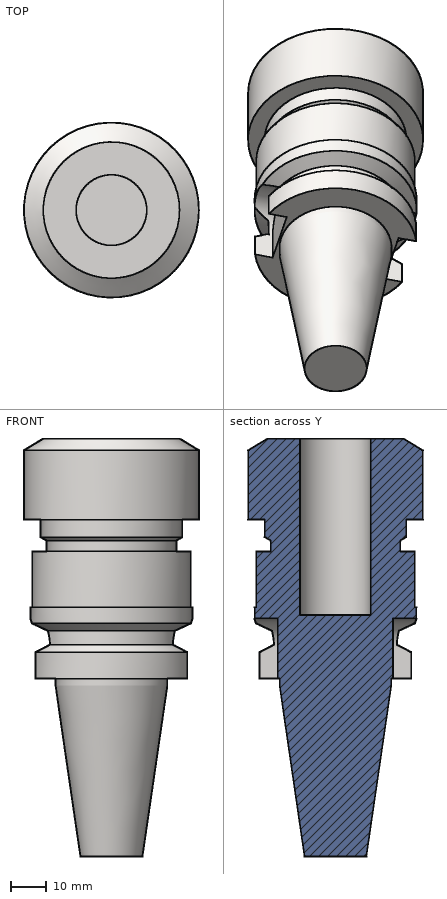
import cadquery as cq

total_height = 118.4
taper_height = 48.4
flange_bottom = 50.4
flange_rim_height = 7.5
groove_bottom = 60.0
groove_top = 63.9
upper_rim_bottom = 66.1
upper_rim_top = 70.7
body_top = 86.4
collar_chamfer_bottom = 89.5
collar_chamfer_top = 90.5
nut_bottom = 95.4
nut_chamfer_height = 3.3

taper_large_radius = 15.9
flange_radius = 23.0
groove_radius = 19.2
body_radius = 22.5
neck_radius = 18.5
collar_radius = 20.1
nut_radius = 24.8
nut_face_radius = 19.3

taper_ratio = 7 / 24
taper_small_radius = taper_large_radius - taper_height * taper_ratio / 2

bore_diameter = 20.0
bore_depth = 50.0

slot_width = 16.1
slot_top = 67.4
slot_floor_offset = 16.3


def make_body():
    """Revolve the stepped holder profile about the Z axis."""
    profile = [
        (0, 0),
        (taper_small_radius, 0),
        (taper_large_radius, taper_height),
        (taper_large_radius, flange_bottom),
        (flange_radius, flange_bottom),
        (flange_radius, flange_bottom + flange_rim_height),
        (groove_radius, groove_bottom),
        (groove_radius, groove_top),
        (flange_radius, upper_rim_bottom),
        (flange_radius, upper_rim_top),
        (body_radius, upper_rim_top),
        (body_radius, body_top),
        (neck_radius, body_top),
        (neck_radius, collar_chamfer_bottom),
        (collar_radius, collar_chamfer_top),
        (collar_radius, nut_bottom),
        (nut_radius, nut_bottom),
        (nut_radius, total_height - nut_chamfer_height),
        (nut_face_radius, total_height),
        (0, total_height),
    ]
    return cq.Workplane("XZ").polyline(profile).close().revolve(360, (0, 0), (0, 1))


def make_bore():
    """Blind collet bore opening at the nut face."""
    return (
        cq.Workplane("XY")
        .workplane(offset=total_height)
        .circle(bore_diameter / 2)
        .extrude(-bore_depth)
    )


def make_drive_slot():
    """Round-topped slot cutter on the +X side, with a flat floor facing +X."""
    half_width = slot_width / 2
    arc_start = slot_top - half_width
    return (
        cq.Workplane("YZ")
        .workplane(offset=slot_floor_offset)
        .moveTo(-half_width, flange_bottom)
        .lineTo(half_width, flange_bottom)
        .lineTo(half_width, arc_start)
        .threePointArc((0, slot_top), (-half_width, arc_start))
        .close()
        .extrude(nut_radius - slot_floor_offset)
    )


result = make_body().cut(make_bore())
for slot_angle in (0, 180):
    result = result.cut(make_drive_slot().rotate((0, 0, 0), (0, 0, 1), slot_angle))